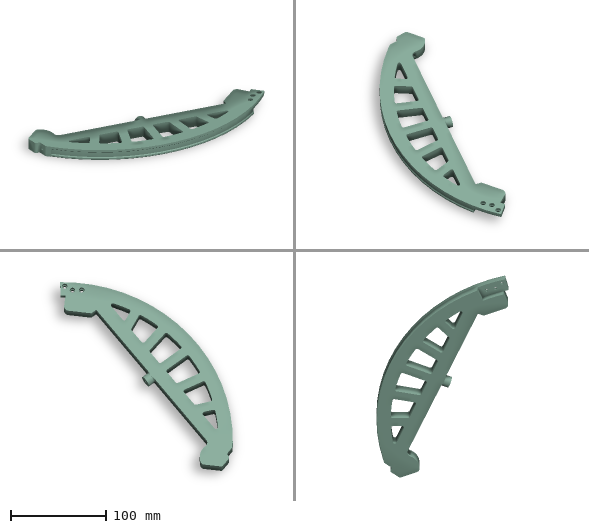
import math

import cadquery as cq

thickness = 12.0
mid_height = thickness / 2
rim_radius = 180.0
wall = 15.0
inner_radius = rim_radius - wall
bar_x = 120.0

rib_width = 10.0
rib_angles = [-24.0, -12.0, 0.0, 12.0, 24.0]
window_fillet = 2.0

tab_end_angle = 52.5
tab_root_angle = 42.5
tab_thickness = 5.8
head_corner = (92.65, 115.45)
head_base_y = 94.6
head_fillet = 5.0

heel_center = (115.4, -115.0)
heel_radius = 16.5
heel_to_bar_fillet = 5.0
heel_fillet = 4.0
foot_side_sum = -13.3
foot_tilt = 14.0
foot_corner_angle = -40.5
step_depth = 5.0
step_setback = 10.6
foot_toe_fillet = 2.4
step_outer_fillet = 2.5
step_inner_fillet = 2.3

groove_width = 7.0
groove_depth = 1.0
groove_wall_slant = 0.8
rim_chamfer = 0.7
groove_start_angle = -38.4
land_end_angle = -38.8

tab_holes = [(175.3, 51.0), (171.1, 48.2), (172.2, 45.0)]
screw_diameter = 3.2
screw_head_diameter = 5.8
screw_head_depth = 3.0

stub_diameter = 12.0
stub_length = 8.0
stub_flare_diameter = 14.0
stub_flare_length = 1.0
stub_hole_diameter = 2.5
stub_hole_depth = 10.0

foot_hole_exit = (132.2, -119.4)
foot_hole_mouth = (116.6, -98.2)
foot_hole_diameter = 2.5
foot_pocket_width = 5.0
foot_pocket_depth = 4.0

cutter_overrun = 8.0
angle_overrun = 1.0


def polar(radius, angle):
    """Point at a radius and an angle in degrees about the rim centre."""
    return radius * math.cos(math.radians(angle)), radius * math.sin(math.radians(angle))


def ring_sector(inner, outer, start, end, bottom, height):
    """Upright ring segment between two radii and two angles."""
    middle = (start + end) / 2
    return (
        cq.Workplane("XY", origin=(0, 0, bottom))
        .moveTo(*polar(inner, start))
        .lineTo(*polar(outer, start))
        .threePointArc(polar(outer, middle), polar(outer, end))
        .lineTo(*polar(inner, end))
        .threePointArc(polar(inner, middle), polar(inner, start))
        .close()
        .extrude(height)
    )


def fillet_upright(body, point, radius):
    """Round the upright edge that passes nearest to a point of the outline."""
    return body.edges(cq.selectors.NearestToPointSelector((*point, mid_height))).fillet(radius)


def heel_point(angle):
    """Point on the heel circle at an angle in degrees."""
    x, y = polar(heel_radius, angle)
    return heel_center[0] + x, heel_center[1] + y


def make_plate():
    """Plate outline with its head block, tab and foot, with rounded corners."""
    rise = head_corner[1] - head_corner[0]
    notch_x = (math.sqrt(2 * inner_radius**2 - rise**2) - rise) / 2
    notch = (notch_x, notch_x + rise)
    head_base = (head_corner[0] + head_corner[1] - head_base_y, head_base_y)
    tab_middle_angle = (tab_end_angle + math.degrees(math.atan2(notch[1], notch[0]))) / 2

    along = polar(1, foot_tilt)
    across = (along[1], -along[0])
    rim_corner = polar(rim_radius, foot_corner_angle)
    step_inner = (rim_corner[0] - step_setback * along[0], rim_corner[1] - step_setback * along[1])
    step_outer = (step_inner[0] + step_depth * across[0], step_inner[1] + step_depth * across[1])
    run = (step_outer[0] + step_outer[1] - foot_side_sum) / (along[0] + along[1])
    toe = (step_outer[0] - run * along[0], step_outer[1] - run * along[1])

    top_angle = math.degrees(math.acos((bar_x - heel_center[0]) / heel_radius))
    side_distance = (heel_center[0] + heel_center[1] - foot_side_sum) / math.sqrt(2)
    side_angle = 225 - math.degrees(math.acos(side_distance / heel_radius))
    heel_top = heel_point(top_angle)
    heel_end = heel_point(side_angle)

    plate = (
        cq.Workplane("XY")
        .moveTo(*rim_corner)
        .lineTo(*polar(rim_radius, land_end_angle))
        .threePointArc((rim_radius, 0), polar(rim_radius, tab_end_angle))
        .lineTo(*polar(inner_radius, tab_end_angle))
        .threePointArc(polar(inner_radius, tab_middle_angle), notch)
        .lineTo(*head_corner)
        .lineTo(*head_base)
        .lineTo(bar_x, head_base_y)
        .lineTo(*heel_top)
        .threePointArc(heel_point((top_angle + side_angle) / 2), heel_end)
        .lineTo(*toe)
        .lineTo(*step_outer)
        .lineTo(*step_inner)
        .close()
        .extrude(thickness)
    )
    rounded_corners = [
        (head_corner, head_fillet),
        (heel_top, heel_to_bar_fillet),
        (heel_end, heel_fillet),
        (toe, foot_toe_fillet),
        (step_outer, step_outer_fillet),
        (step_inner, step_inner_fillet),
    ]
    for point, radius in rounded_corners:
        plate = fillet_upright(plate, point, radius)
    return plate


def make_windows():
    """Space between the bar and the rim, split up by the radial ribs."""
    inner_bar_x = bar_x + wall
    end_y = math.sqrt(inner_radius**2 - inner_bar_x**2)
    windows = (
        cq.Workplane("XY")
        .moveTo(inner_bar_x, -end_y)
        .threePointArc((inner_radius, 0), (inner_bar_x, end_y))
        .close()
        .extrude(thickness)
    )
    for angle in rib_angles:
        rib = cq.Workplane("XY").rect(2 * rim_radius, rib_width).extrude(thickness)
        windows = windows.cut(rib.rotate((0, 0, 0), (0, 0, 1), angle))
    return windows.edges("|Z").fillet(window_fillet)


def make_tab_relief():
    """Space under the tab, between the inner rim radius and beyond the rim."""
    return ring_sector(
        inner_radius,
        rim_radius + wall,
        tab_root_angle,
        tab_end_angle + angle_overrun,
        0,
        thickness - tab_thickness,
    )


def revolve_to_tab_end(section, start_angle):
    """Turn a radius-height section about the rim axis, from an angle past the tab end."""
    sweep = tab_end_angle + angle_overrun - start_angle
    ring = cq.Workplane("XZ").polyline(section).close().revolve(sweep, (0, 0, 0), (0, 1, 0))
    return ring.rotate((0, 0, 0), (0, 0, 1), start_angle)


def make_rim_chamfer():
    """Chamfer along the lower edge of the grooved rim."""
    section = [
        (rim_radius - rim_chamfer, 0),
        (rim_radius + rim_chamfer, 0),
        (rim_radius + rim_chamfer, rim_chamfer),
        (rim_radius, rim_chamfer),
    ]
    return revolve_to_tab_end(section, land_end_angle)


def make_groove():
    """Rim groove with slanted walls, open at the tab end."""
    floor_radius = rim_radius - groove_depth
    half_mouth = groove_width / 2
    half_floor = half_mouth - groove_wall_slant
    section = [
        (floor_radius, mid_height - half_floor),
        (rim_radius, mid_height - half_mouth),
        (rim_radius + groove_depth, mid_height - half_mouth),
        (rim_radius + groove_depth, mid_height + half_mouth),
        (rim_radius, mid_height + half_mouth),
        (floor_radius, mid_height + half_floor),
    ]
    return revolve_to_tab_end(section, groove_start_angle)


def make_tab_holes():
    centers = [polar(radius, angle) for radius, angle in tab_holes]
    shanks = cq.Workplane("XY").pushPoints(centers).circle(screw_diameter / 2).extrude(thickness)
    heads = (
        cq.Workplane("XY", origin=(0, 0, thickness - screw_head_depth))
        .pushPoints(centers)
        .circle(screw_head_diameter / 2)
        .extrude(screw_head_depth)
    )
    return shanks.union(heads)


def make_stub():
    """Round stub with a conical flare at the bar, kept within the plate thickness."""
    profile = [
        (bar_x, 0),
        (bar_x, stub_flare_diameter / 2),
        (bar_x - stub_flare_length, stub_diameter / 2),
        (bar_x - stub_length, stub_diameter / 2),
        (bar_x - stub_length, 0),
    ]
    stub = cq.Workplane("XY").polyline(profile).close().revolve(360, (0, 0, 0), (1, 0, 0))
    slab = cq.Workplane("XY").box(2 * rim_radius, 2 * wall, thickness)
    return stub.intersect(slab).translate((0, 0, mid_height))


def make_stub_hole():
    plane = cq.Plane(origin=(bar_x - stub_length, 0, mid_height), xDir=(0, 1, 0), normal=(1, 0, 0))
    return cq.Workplane(plane).circle(stub_hole_diameter / 2).extrude(stub_hole_depth)


def make_foot_hole():
    """Hole from the heel out of the end face, with a pocket as tall as the rim groove."""
    mouth = cq.Vector(*foot_hole_mouth, mid_height)
    exit_point = cq.Vector(*foot_hole_exit, mid_height)
    length = (exit_point - mouth).Length
    axis = cq.Plane(origin=mouth.toTuple(), xDir=(0, 0, 1), normal=(exit_point - mouth).toTuple())
    shank = cq.Workplane(axis).circle(foot_hole_diameter / 2).extrude(length + cutter_overrun)
    pocket = (
        cq.Workplane(axis)
        .workplane(offset=-cutter_overrun)
        .rect(groove_width, foot_pocket_width)
        .extrude(cutter_overrun + foot_pocket_depth)
    )
    return shank.union(pocket)


result = (
    make_plate()
    .cut(make_windows())
    .cut(make_tab_relief())
    .cut(make_groove())
    .cut(make_rim_chamfer())
    .cut(make_tab_holes())
    .union(make_stub())
    .cut(make_stub_hole())
    .cut(make_foot_hole())
)